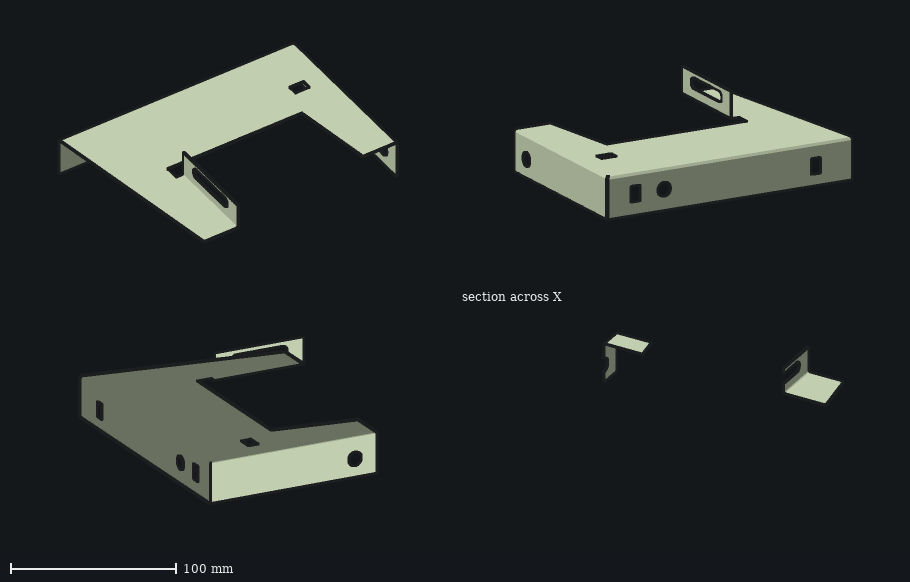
import cadquery as cq
import math

thickness = 1.0
inside_radius = 1.0
bend_radius = inside_radius + thickness
corner_gap = 0.2

length = 170.1
width = 130.0
plate_top = 27.0
upstand_top = 44.0

rear_arm_end = 114.5
rear_arm_tip_y = 145.0
rear_arm_root_y = 136.6
web_edge_x = 59.7
notch_y = 39.5
upstand_start_x = 69.5
upstand_back_y = 45.3
front_arm_tip_y = 20.0

rect_width = 6.8
rect_length = 10.2
rect_corner_radius = 1.0
plate_rect_center = (38.5, 148.9)
side_rect_centers = [(150.2, 13.6), (25.2, 12.5)]
hole_diameter = 9.0
side_hole_center = (130.3, 13.5)
rear_hole_center = (99.7, 11.7)
slot_length = 38.1
slot_width = 7.0
slot_center = ((upstand_start_x + width) / 2, 37.1)


def flange_profile(plane, height):
    """Web and bend section: the web fills u = 0..thickness and the plate face lies at v = 0.

    The section stops where the bend becomes tangent to the plate.
    """
    diagonal = math.sqrt(0.5)
    outer_mid = bend_radius * (1 - diagonal)
    inner_mid = bend_radius - inside_radius * diagonal
    return (
        cq.Workplane(plane)
        .moveTo(0, -height)
        .lineTo(0, -bend_radius)
        .threePointArc((outer_mid, -outer_mid), (bend_radius, 0))
        .lineTo(bend_radius, -thickness)
        .threePointArc((inner_mid, -inner_mid), (thickness, -bend_radius))
        .lineTo(thickness, -height)
        .close()
    )


def flange(origin, inward, along, height, run):
    """Bent flange; inward points from the web to the plate and along is the fold direction."""
    plane = cq.Plane(origin=origin, xDir=inward, normal=along)
    return flange_profile(plane, height).extrude(run)


def flat_plate():
    outline = [
        (bend_radius, 0),
        (width, front_arm_tip_y),
        (width, upstand_back_y - bend_radius),
        (upstand_start_x, upstand_back_y - bend_radius),
        (upstand_start_x, notch_y),
        (web_edge_x, notch_y),
        (web_edge_x, rear_arm_root_y),
        (rear_arm_end, rear_arm_tip_y),
        (rear_arm_end, length - bend_radius),
        (bend_radius, length - bend_radius),
    ]
    plate_bottom = plate_top - thickness
    return cq.Workplane("XY").workplane(offset=plate_bottom).polyline(outline).close().extrude(thickness)


def side_flange():
    """Flange down along the -X edge, stopping just short of the rear flange."""
    run = length - thickness - corner_gap
    return flange((0, run, plate_top), (1, 0, 0), (0, -1, 0), plate_top, run)


def rear_flange():
    """Flange down along the +Y edge, starting just clear of the side web."""
    run = rear_arm_end - thickness - corner_gap
    return flange((rear_arm_end, length, plate_top), (0, -1, 0), (-1, 0, 0), plate_top, run)


def upstand():
    """Flange up along the inner edge of the front arm."""
    height = upstand_top - plate_top + thickness
    origin = (upstand_start_x, upstand_back_y, plate_top - thickness)
    return flange(origin, (0, -1, 0), (1, 0, 0), height, width - upstand_start_x)


def rect_cutter(sketch_plane, center, size_u, size_v, depth):
    return cq.Workplane(sketch_plane).center(*center).rect(size_u, size_v).extrude(depth)


def plate_opening():
    return rect_cutter("XY", plate_rect_center, rect_width, rect_length, plate_top)


def side_openings():
    """Rounded rectangles and a round hole through the side flange."""
    cutter = cq.Workplane("YZ").center(*side_hole_center).circle(hole_diameter / 2).extrude(bend_radius)
    for center in side_rect_centers:
        opening = rect_cutter("YZ", center, rect_width, rect_length, bend_radius)
        cutter = cutter.union(opening.edges("|X").fillet(rect_corner_radius))
    return cutter


def rear_hole():
    plane = cq.Plane(origin=(0, length, 0), xDir=(1, 0, 0), normal=(0, -1, 0))
    return cq.Workplane(plane).center(*rear_hole_center).circle(hole_diameter / 2).extrude(bend_radius)


def upstand_slot():
    plane = cq.Plane(origin=(0, upstand_back_y, 0), xDir=(1, 0, 0), normal=(0, -1, 0))
    return cq.Workplane(plane).center(*slot_center).slot2D(slot_length, slot_width).extrude(bend_radius)


body = flat_plate().union(side_flange()).union(rear_flange()).union(upstand())
result = body.cut(plate_opening()).cut(side_openings()).cut(rear_hole()).cut(upstand_slot())